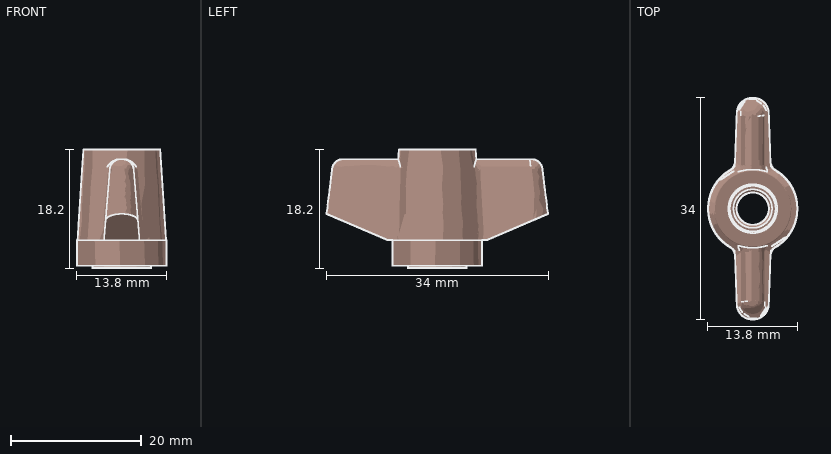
import cadquery as cq
import math

BOSS_RADIUS = 9.0 / 2
BOSS_HEIGHT = 0.35
COLLAR_RADIUS = 13.75 / 2
COLLAR_TOP = 4.3
CONE_BASE_RADIUS = 13.6 / 2
CONE_TOP_RADIUS = 11.8 / 2
TOTAL_HEIGHT = 18.2
RIM_FILLET = 0.13

HOLE_RADIUS = 4.92 / 2
HOLE_CHAMFER = 0.5
COUNTERBORE_RADIUS = 7.0 / 2
COUNTERBORE_DEPTH = 3.1
COUNTERBORE_CHAMFER = 0.25

WING_TOP = 16.7
WING_SPAN = 34.0
WING_BASE_HALF_WIDTH = 2.72
WING_TOP_HALF_WIDTH = 1.7
WING_TOP_REACH = 15.93
ROOT_BASE_RADIUS = 1.9
ROOT_TOP_RADIUS = 1.25
ROOT_OVERLAP = 0.01
WING_START = 4.2
CROWN_RADIUS = 1.66

SLOPE_START = 7.67
TIP_BOTTOM = 8.3

TIP_REACH = WING_SPAN / 2
TIP_DRAFT = (TIP_REACH - WING_TOP_REACH) / (WING_TOP - TIP_BOTTOM)
WING_BASE_REACH = WING_TOP_REACH + TIP_DRAFT * (WING_TOP - COLLAR_TOP)


def cone_radius(z):
    """Radius of the hub cone at height z."""
    fraction = (z - COLLAR_TOP) / (TOTAL_HEIGHT - COLLAR_TOP)
    return CONE_BASE_RADIUS + fraction * (CONE_TOP_RADIUS - CONE_BASE_RADIUS)


def make_hub():
    boss = cq.Workplane("XY").circle(BOSS_RADIUS).extrude(COLLAR_TOP)
    collar = (
        cq.Workplane("XY", origin=(0, 0, BOSS_HEIGHT))
        .circle(COLLAR_RADIUS)
        .extrude(COLLAR_TOP - BOSS_HEIGHT)
    )
    cone = (
        cq.Workplane("XZ")
        .moveTo(0, COLLAR_TOP)
        .lineTo(CONE_BASE_RADIUS, COLLAR_TOP)
        .lineTo(CONE_TOP_RADIUS, TOTAL_HEIGHT)
        .lineTo(0, TOTAL_HEIGHT)
        .close()
        .revolve(360, (0, 0), (0, 1))
        .faces(">Z")
        .edges()
        .fillet(RIM_FILLET)
    )
    return boss.union(collar).union(cone)


def wing_section(z, half_width, reach, root_radius):
    """Plan outline of the +Y wing at height z: flared root, straight sides, round tip."""
    hub_radius = cone_radius(z) - ROOT_OVERLAP
    arc_x = half_width + root_radius
    arc_y = math.sqrt((hub_radius + root_radius) ** 2 - arc_x ** 2)
    hub_share = hub_radius / (hub_radius + root_radius)
    root_x = arc_x * hub_share
    root_y = arc_y * hub_share
    middle_angle = math.pi + math.atan2(arc_y, arc_x) / 2
    middle_x = arc_x + root_radius * math.cos(middle_angle)
    middle_y = arc_y + root_radius * math.sin(middle_angle)
    tip_center = reach - half_width
    outline = (
        cq.Workplane("XY", origin=(0, 0, z))
        .moveTo(-root_x, WING_START)
        .lineTo(root_x, WING_START)
        .lineTo(root_x, root_y)
        .threePointArc((middle_x, middle_y), (half_width, arc_y))
        .lineTo(half_width, tip_center)
        .threePointArc((0, reach), (-half_width, tip_center))
        .lineTo(-half_width, arc_y)
        .threePointArc((-middle_x, middle_y), (-root_x, root_y))
        .close()
    )
    return outline.val()


def make_wing():
    base = wing_section(COLLAR_TOP, WING_BASE_HALF_WIDTH, WING_BASE_REACH, ROOT_BASE_RADIUS)
    top = wing_section(WING_TOP, WING_TOP_HALF_WIDTH, WING_TOP_REACH, ROOT_TOP_RADIUS)
    wing = cq.Workplane(cq.Solid.makeLoft([base, top], True))
    outside_hub = cq.selectors.BoxSelector(
        (-COLLAR_RADIUS, cone_radius(WING_TOP) - ROOT_OVERLAP, COLLAR_TOP),
        (COLLAR_RADIUS, WING_SPAN, TOTAL_HEIGHT),
    )
    wing = wing.faces(">Z").edges(outside_hub).fillet(CROWN_RADIUS)

    slope = (TIP_BOTTOM - COLLAR_TOP) / (TIP_REACH - SLOPE_START)
    run = WING_SPAN - SLOPE_START
    underside = (
        cq.Workplane("YZ")
        .moveTo(SLOPE_START, COLLAR_TOP)
        .lineTo(WING_SPAN, COLLAR_TOP)
        .lineTo(WING_SPAN, COLLAR_TOP + slope * run)
        .close()
        .extrude(COLLAR_RADIUS, both=True)
    )
    return wing.cut(underside)


def make_bore():
    floor = TOTAL_HEIGHT - COUNTERBORE_DEPTH
    mouth_radius = COUNTERBORE_RADIUS + COUNTERBORE_CHAMFER
    return (
        cq.Workplane("XZ")
        .lineTo(HOLE_RADIUS, 0)
        .lineTo(HOLE_RADIUS, floor - HOLE_CHAMFER)
        .lineTo(HOLE_RADIUS + HOLE_CHAMFER, floor)
        .lineTo(COUNTERBORE_RADIUS, floor)
        .lineTo(COUNTERBORE_RADIUS, TOTAL_HEIGHT - COUNTERBORE_CHAMFER)
        .lineTo(mouth_radius, TOTAL_HEIGHT)
        .lineTo(0, TOTAL_HEIGHT)
        .close()
        .revolve(360, (0, 0), (0, 1))
    )


result = make_hub()
for angle in (0, 180):
    result = result.union(make_wing().rotate((0, 0, 0), (0, 0, 1), angle))
result = result.cut(make_bore())